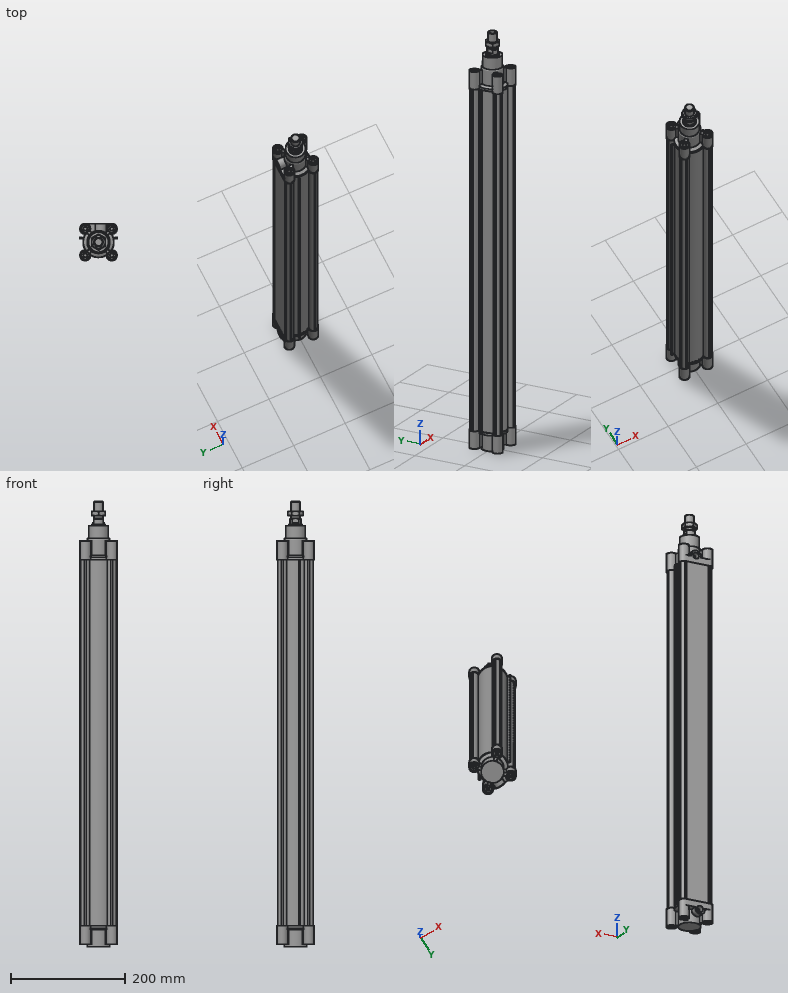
import cadquery as cq
import math


size = 65.0
total_height = 780.0
post_pitch = 46.5
post_offset = post_pitch / 2
post_radius = (size - post_pitch) / 2

spigot_height = 4.0
cap_height = 33.0
cap_core_diameter = 40.0
barrel_diameter = 54.0
barrel_band = 4.5
barrel_flare = 3.0
web_width = 6.0
post_thread_diameter = 6.75
post_thread_depth = 15.0
post_recess_diameter = 13.5
post_recess_depth = 2.0

port_block_width = post_pitch
port_block_height = 12.0
port_block_depth = 17.5
port_boss_diameter = 19.5
port_boss_x = 4.0
port_boss_height = 14.0
port_diameter = 11.6
port_depth = 12.0

tube_length = 641.0
bore_diameter = 50.0
tube_post_radius = 8.0
strip_depth = 16.0
groove_width = 3.0
groove_depth = 1.5
rib_bottom_y = 5.9
rib_thickness = 1.6
lip_height = 1.2
lip_width = 3.0

core_shoulder = 2.0
collar_diameter = 35.0
collar_flare = 2.5
collar_height = 26.5
wiper_base_diameter = 24.0
wiper_top_diameter = 22.0
wiper_height = 2.5

rod_diameter = 20.0
rod_exposed = 13.5
rod_flats = 17.0
flat_length = 8.0
thread_diameter = 16.0
thread_end_diameter = 13.5

nut_across_flats = 24.0
nut_height = 8.0
nut_top_gap = 17.0
nut_chamfer_angle = math.radians(30)

rear_cap_bottom = spigot_height
tube_bottom = rear_cap_bottom + cap_height
tube_top = tube_bottom + tube_length
front_cap_top = tube_top + cap_height
collar_top = front_cap_top + collar_height
rod_shoulder = collar_top + rod_exposed

post_centres = [(sx * post_offset, sy * post_offset) for sx in (-1, 1) for sy in (-1, 1)]


def disc(diameter, bottom, height):
    """Round solid on the Z axis."""
    return cq.Workplane("XY").workplane(offset=bottom).circle(diameter / 2).extrude(height)


def cap_blank(spigot):
    """Cap standing on the tube end at Z = 0, with its core raised by `spigot` above the posts."""
    core_radius = cap_core_diameter / 2
    barrel_radius = barrel_diameter / 2
    core = (
        cq.Workplane("XZ")
        .moveTo(0, 0)
        .lineTo(barrel_radius, 0)
        .lineTo(barrel_radius, barrel_band)
        .lineTo(core_radius, barrel_band + barrel_flare)
        .lineTo(core_radius, cap_height + spigot)
        .lineTo(0, cap_height + spigot)
        .close()
        .revolve(360, (0, 0, 0), (0, 1, 0))
    )
    posts = cq.Workplane("XY").pushPoints(post_centres).circle(post_radius).extrude(cap_height)
    cap = core.union(posts)
    for angle in (45, 135):
        web = cq.Workplane("XY").rect(post_pitch * math.sqrt(2), web_width).extrude(cap_height)
        cap = cap.union(web.rotate((0, 0, 0), (0, 0, 1), angle))
    cap = add_port(cap)
    cap = cap.cut(post_holes(post_recess_diameter, post_recess_depth))
    return cap.cut(post_holes(post_thread_diameter, post_thread_depth))


def post_holes(diameter, depth):
    """Cutters sunk into the four posts from the outer face of a cap."""
    face = cq.Workplane("XY").workplane(offset=cap_height)
    return face.pushPoints(post_centres).circle(diameter / 2).extrude(-depth)


def add_port(cap):
    """Flat block between the +Y posts with a round boss and the supply port in it."""
    block = cq.Workplane("XY").rect(port_block_width, port_block_depth).extrude(port_block_height)
    block = block.translate((0, (size - port_block_depth) / 2, 0))
    face = cq.Workplane("XZ", origin=(port_boss_x, size / 2, port_boss_height))
    boss = face.circle(port_boss_diameter / 2).extrude(size / 2)
    port = face.circle(port_diameter / 2).extrude(port_depth)
    return cap.union(block).union(boss).cut(port)


def make_rear_cap():
    """Cap turned upside down under the tube."""
    cap = cap_blank(spigot_height)
    return cap.rotate((0, 0, 0), (0, 1, 0), 180).translate((0, 0, tube_bottom))


def make_front_cap():
    """Cap on top of the tube with the bearing collar and the bore for the rod."""
    cap = cap_blank(core_shoulder).translate((0, 0, tube_top))
    flare_bottom = front_cap_top + core_shoulder
    collar_radius = collar_diameter / 2
    collar = (
        cq.Workplane("XZ")
        .moveTo(0, flare_bottom)
        .lineTo(cap_core_diameter / 2, flare_bottom)
        .radiusArc((collar_radius, flare_bottom + collar_flare), -collar_flare)
        .lineTo(collar_radius, collar_top)
        .lineTo(wiper_base_diameter / 2, collar_top)
        .lineTo(wiper_top_diameter / 2, collar_top + wiper_height)
        .lineTo(0, collar_top + wiper_height)
        .close()
        .revolve(360, (0, 0, 0), (0, 1, 0))
    )
    rod_bore = disc(rod_diameter, tube_top, total_height - tube_top)
    return cap.union(collar).cut(rod_bore)


def make_tube():
    """Barrel with four grooved corner posts and a hooked rib on each X side."""
    post_side = post_offset + tube_post_radius
    tube = disc(barrel_diameter, tube_bottom, tube_length)
    base = cq.Workplane("XY").workplane(offset=tube_bottom)
    tube = tube.union(base.pushPoints(post_centres).circle(tube_post_radius).extrude(tube_length))
    strip = base.center(0, post_side - strip_depth / 2).rect(post_pitch, strip_depth).extrude(tube_length)
    tube = tube.union(strip)
    for side in (-1, 1):
        outer = side * size / 2
        rib_top_y = rib_bottom_y + rib_thickness
        rib = (
            base.moveTo(0, rib_bottom_y)
            .lineTo(outer, rib_bottom_y)
            .lineTo(outer, rib_top_y + lip_height)
            .lineTo(outer - side * lip_width, rib_top_y + lip_height)
            .lineTo(outer - side * lip_width, rib_top_y)
            .lineTo(0, rib_top_y)
            .close()
            .extrude(tube_length)
        )
        tube = tube.union(rib)
        for end in (-1, 1):
            grooves = [
                ((side * post_side, end * post_offset), (2 * groove_depth, groove_width)),
                ((side * post_offset, end * post_side), (groove_width, 2 * groove_depth)),
            ]
            for place, (width, depth) in grooves:
                tube = tube.cut(base.center(*place).rect(width, depth).extrude(tube_length))
    return tube.cut(disc(bore_diameter, tube_bottom, tube_length))


def make_rod():
    """Rod with two wrench flats facing X and a plain threaded end."""
    radius = rod_diameter / 2
    thread_radius = thread_diameter / 2
    rod_chamfer = radius - thread_radius
    thread_chamfer = (thread_diameter - thread_end_diameter) / 2
    rod = (
        cq.Workplane("XZ")
        .moveTo(0, tube_top)
        .lineTo(radius, tube_top)
        .lineTo(radius, rod_shoulder - rod_chamfer)
        .lineTo(thread_radius, rod_shoulder)
        .lineTo(thread_radius, total_height - thread_chamfer)
        .lineTo(thread_end_diameter / 2, total_height)
        .lineTo(0, total_height)
        .close()
        .revolve(360, (0, 0, 0), (0, 1, 0))
    )
    flat_depth = (rod_diameter - rod_flats) / 2
    for side in (-1, 1):
        x = side * (rod_flats + flat_depth) / 2
        z = rod_shoulder - flat_length / 2
        flat = cq.Workplane("XY").box(flat_depth, rod_diameter, flat_length)
        rod = rod.cut(flat.translate((x, 0, z)))
    return rod


def make_nut():
    """Hexagon nut with corners on the Y axis."""
    across_corners = nut_across_flats / math.cos(math.radians(30))
    bottom = total_height - nut_top_gap - nut_height
    nut = cq.Workplane("XY").polygon(6, across_corners).circle(thread_diameter / 2).extrude(nut_height)
    rim_width = (across_corners - nut_across_flats) / 2
    rim_height = rim_width * math.tan(nut_chamfer_angle)
    nut = nut.intersect(disc(across_corners, 0, nut_height).faces("<Z or >Z").chamfer(rim_height, rim_width))
    return nut.rotate((0, 0, 0), (0, 0, 1), 90).translate((0, 0, bottom))


rear_cap = make_rear_cap()
tube = make_tube()
front_cap = make_front_cap()
rod = make_rod()
nut = make_nut()
result = cq.Compound.makeCompound([rear_cap.val(), tube.val(), front_cap.val(), rod.val(), nut.val()])